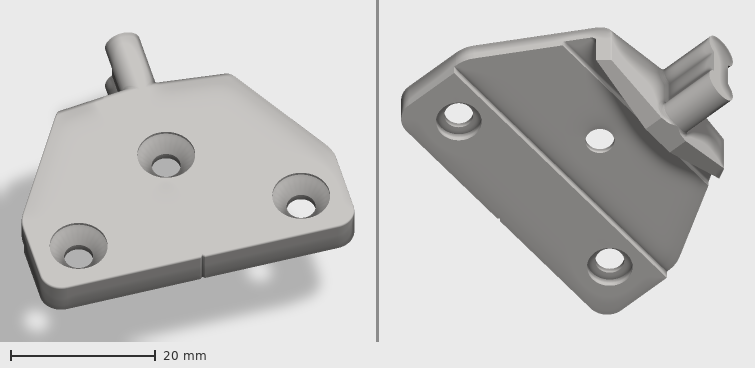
import cadquery as cq

length = 40.6
width = 45.0
height = 13.55

nose_x = 8.35
shoulder_x = 9.7
shoulder_y = 11.92
slant_end_x = 27.55
slant_radius = 5.0
rear_radius = 3.0

plate_depth = 3.38
rear_depth = 4.9
rear_pad_x = 29.3
channel_depth = 2.48
channel_end_x = 15.6
channel_end_radius = 0.25
wall_back_x = 11.55
wall_back_radius = 0.8

wall_foot_half_width = 2.55
wall_side_half_width = 13.0
wall_side_depth = 8.25

wall_top_radius = 2.0
edge_radius = 0.25

stub_diameter = 5.0
stub_web = 3.0
stub_root_radius = 0.5

hole_diameter = 4.0
sink_diameter = 8.0
sink_straight_depth = 0.4
relief_diameter = 6.3
front_hole_x = 22.1
rear_hole_x = 34.05
rear_hole_y = 15.98
rear_holes = [(rear_hole_x, -rear_hole_y), (rear_hole_x, rear_hole_y)]

notch_width = 0.65
notch_depth = 0.3

margin = 2.25


def make_outline_body():
    """Full-height prism of the plate outline with its rounded corners."""
    half = width / 2
    body = (
        cq.Workplane("XY")
        .polyline([
            (nose_x, 0),
            (shoulder_x, -shoulder_y),
            (slant_end_x, -half),
            (length, -half),
            (length, half),
            (slant_end_x, half),
            (shoulder_x, shoulder_y),
        ])
        .close()
        .extrude(-height - margin)
    )
    body = body.edges("|Z and >X").fillet(rear_radius)
    slant_corners = cq.selectors.BoxSelector(
        (slant_end_x - 0.45, -width, -2 * height), (slant_end_x + 0.45, width, 0)
    )
    return body.edges("|Z").edges(slant_corners).fillet(slant_radius)


def make_side_profile():
    """Side profile: front wall, channel behind it, plate and deeper rear pad."""
    profile = (
        cq.Workplane("XZ")
        .polyline([
            (0, 0),
            (length, 0),
            (length, -rear_depth),
            (rear_pad_x, -rear_depth),
            (rear_pad_x, -plate_depth),
            (channel_end_x, -plate_depth),
            (channel_end_x, -channel_depth),
            (wall_back_x, -channel_depth),
            (wall_back_x, -height),
            (0, -height),
        ])
        .close()
        .extrude(width / 2 + margin, both=True)
    )

    def channel_corner(x):
        return cq.selectors.NearestToPointSelector((x, 0, -channel_depth))

    profile = profile.edges("|Y").edges(channel_corner(wall_back_x)).fillet(wall_back_radius)
    return profile.edges("|Y").edges(channel_corner(channel_end_x)).fillet(channel_end_radius)


def make_wall_profile():
    """Front silhouette: the wall tapers down to a narrow flat foot."""
    outer_y = width / 2 + margin
    return (
        cq.Workplane("YZ")
        .polyline([
            (-wall_foot_half_width, -height),
            (wall_foot_half_width, -height),
            (wall_side_half_width, -wall_side_depth),
            (outer_y, -wall_side_depth),
            (outer_y, margin),
            (-outer_y, margin),
            (-outer_y, -wall_side_depth),
            (-wall_side_half_width, -wall_side_depth),
        ])
        .close()
        .extrude(length)
    )


def cut_notch(body):
    """V notch through the middle of the rear edge."""
    cutter = (
        cq.Workplane("XY")
        .polyline([
            (length - notch_depth, 0),
            (length, -notch_width / 2),
            (length, notch_width / 2),
        ])
        .close()
        .extrude(-height - margin)
    )
    return body.cut(cutter)


def make_base():
    """Plate and tapered wall, with the top and wall edges rounded."""
    body = make_outline_body()
    nose_edges = cq.selectors.BoxSelector(
        (nose_x, -shoulder_y, -0.45), (shoulder_x, shoulder_y, 0.45)
    )
    body = body.faces(">Z").edges(nose_edges).fillet(wall_top_radius)
    body = cut_notch(body)
    rear_edges = cq.selectors.BoxSelector(
        (length - rear_radius, -width, -edge_radius), (length + edge_radius, width, edge_radius)
    )
    return body.faces(">Z").edges(rear_edges).fillet(edge_radius)


def make_stub():
    """Two round bars joined by a flat web, reaching back into the wall."""
    radius = stub_diameter / 2
    bar_depths = (-radius, radius - height)
    stub = cq.Workplane("YZ").center(0, -height / 2).rect(stub_web, height - stub_diameter)
    stub = stub.extrude(wall_back_x)
    for depth in bar_depths:
        stub = stub.union(cq.Workplane("YZ").center(0, depth).circle(radius).extrude(wall_back_x))
    return stub


def cut_screw_hole(body, x, y):
    """Through hole with a conical sink below a short straight lip."""
    hole_radius = hole_diameter / 2
    sink_radius = sink_diameter / 2
    cone_end = sink_straight_depth + sink_radius - hole_radius
    cutter = (
        cq.Workplane("XZ")
        .polyline([
            (0, margin),
            (sink_radius, margin),
            (sink_radius, -sink_straight_depth),
            (hole_radius, -cone_end),
            (hole_radius, -height),
            (0, -height),
        ])
        .close()
        .revolve(360, (0, 0, 0), (0, 1, 0))
    )
    return body.cut(cutter.translate((x, y, 0)))


def cut_relief(body, x, y):
    """Wider bore through the rear pad, stopping level with the plate underside."""
    cutter = cq.Workplane("XY").workplane(offset=-height).circle(relief_diameter / 2)
    return body.cut(cutter.extrude(height - plate_depth).translate((x, y, 0)))


def round_stub_root(body):
    """Fillet the seam where the stub runs into the wall and its rounded top."""
    radius = stub_diameter / 2
    seam_box = cq.selectors.BoxSelector(
        (nose_x - edge_radius, -radius, -height - edge_radius),
        (nose_x + wall_top_radius + edge_radius, radius, edge_radius),
    )
    return body.edges(seam_box).fillet(stub_root_radius)


body = round_stub_root(make_base().union(make_stub()))
body = body.intersect(make_side_profile()).intersect(make_wall_profile())
body = cut_screw_hole(body, front_hole_x, 0)
for hole_x, hole_y in rear_holes:
    body = cut_screw_hole(body, hole_x, hole_y)
    body = cut_relief(body, hole_x, hole_y)
result = body